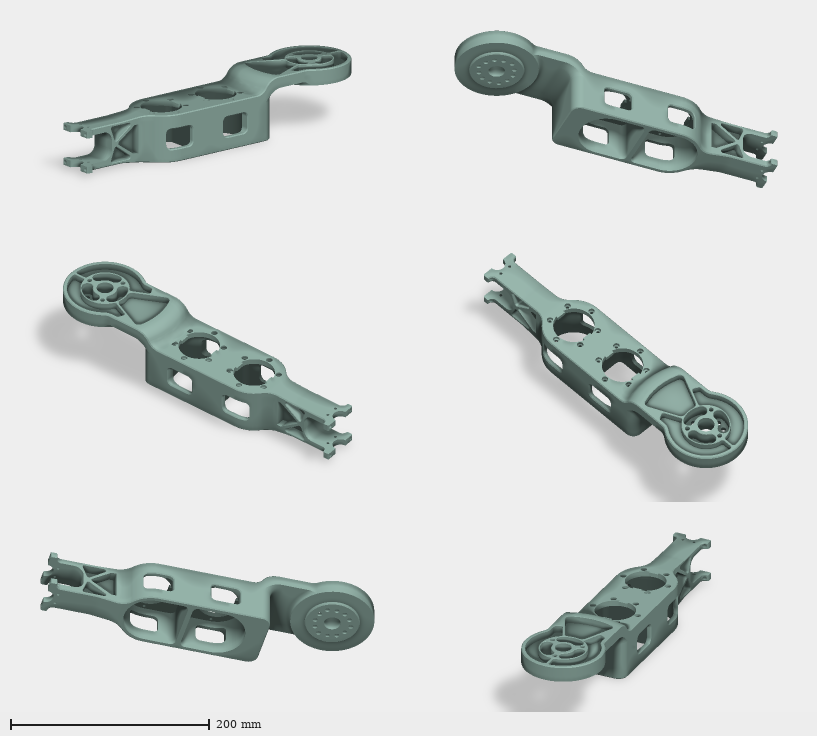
import cadquery as cq
import math


DISC_RADIUS = 42.5
DISC_THICKNESS = 16.5
DISC_BLEND_RADIUS = 10
DISC_UNDER_FILLET = 4
BOSS_RADIUS = 28
BOSS_BOTTOM = -19.25
BOSS_CHAMFER = 1
BORE_DIAMETER = 17

HUB_RADIUS = 25
RIM_WALL = 4
POCKET_DEPTH = 8
RIB_THICKNESS = 2.5
POCKET_CHAMFER = 0.5
SIDE_POCKET_CORNER = 2.5
SIDE_POCKET_SHOULDER_Y = -38
SIDE_POCKET_END_Y = -42
ARM_RIM_WALL = 4
FAN_NARROW_Y = -25
FAN_NARROW_HALF_WIDTH = 10.5
FAN_WIDE_Y = -57
FAN_WIDE_HALF_WIDTH = 25.5
FAN_OUTER_RADIUS = 68
FAN_CORNER = 5

BOLT_CIRCLE_RADIUS = 18
BOLT_STEP = 30
BOLT_DIAMETER = 5
SPOKE_HOLE_RADIUS = 19.5
LOBE_WIDTH = 11.2
LOBE_DEPTH = 14.5
LOBE_ANGLES = (30, 150, 270)
SPOKE_ANGLES = (90, 210, 330)

ARM_HALF_WIDTH = 32.5
ARM_THICKNESS = 12
BEND_START_RADIUS = 71.5
BEND_UPPER_RADIUS = 18
BEND_LOWER_RADIUS = 12
BEND_ANGLE = 60
EDGE_CHAMFER = 1

BLOCK_END_Y = -71.5
BLOCK_CORNER = 10
BLOCK_BOTTOM = -65
COVE_RADIUS = 12
MOTOR_YS = (-120, -190)
PLATE_THICKNESS = 6
WALL_THICKNESS = 4.5
WEB_THICKNESS = 5
CAVITY_CORNER = 5.5
MOTOR_HOLE_RADIUS = 21
TAB_HALF_WIDTH = 5
TAB_INNER_RADIUS = 18
TAB_THICKNESS = 4
SCREW_CIRCLE_RADIUS = 25
SCREW_COUNT = 6
SCREW_DIAMETER = 3.2
SCREW_HEAD_DIAMETER = 6.5
SCREW_HEAD_DEPTH = 3
WINDOW_LENGTH = 30.5
WINDOW_HEIGHT = 21.5
WINDOW_CORNER = 5
WINDOW_CHAMFER = 1
WINDOW_Z = -40.5

NECK_HALF_WIDTH = 14
NECK_BLEND_RADIUS = 20
NECK_TOP = -16.5
NECK_BOTTOM = -60.5
RAMP_START_Y = -219.5
RAMP_END_Y = -250
RAMP_BLEND_RADIUS = 50
TIP_Y = -300
FOOT_HALF_WIDTH = 20
FOOT_LENGTH = 7
FOOT_BLEND_RADIUS = 5
FOOT_CHAMFER = 0.8
PRONG_THICKNESS = 7
SLOT_END_Y = -264.3
SLOT_CORNER = 10
NOTCH_RADIUS = 8
PRONG_HOLE_DIAMETER = 3
PRONG_HOLE_X = 6.25
PRONG_HOLE_Y = -288.7
FOOT_HOLE_DIAMETER = 4
FOOT_HOLE_X = 16.5
NECK_POCKET_DEPTH = 10
NECK_POCKET_CORNER = 2
MAIN_POCKET_CORNERS = [(-230, -23), (-235, -23), (-257.5, -38.5)]
SMALL_POCKET_CORNERS = [(-236.5, -19.5), (-265.8, -19.5), (-259.6, -36.5)]

bend_angle = math.radians(BEND_ANGLE)
BEND_MIDDLE_RADIUS = BEND_START_RADIUS + BEND_UPPER_RADIUS * math.sin(bend_angle)
BEND_END_RADIUS = BEND_MIDDLE_RADIUS + BEND_LOWER_RADIUS * math.sin(bend_angle)
BEND_MIDDLE_Z = -BEND_UPPER_RADIUS * (1 - math.cos(bend_angle))
BLOCK_TOP = BEND_MIDDLE_Z - BEND_LOWER_RADIUS * (1 - math.cos(bend_angle))
NECK_MIDDLE_Z = (NECK_TOP + NECK_BOTTOM) / 2
CAVITY_HALF_WIDTH = ARM_HALF_WIDTH - WALL_THICKNESS
CAVITY_TOP = BLOCK_TOP - PLATE_THICKNESS
FAR = 500


def prism(sketch, bottom, top):
    """Extrude a closed plan outline drawn on the XY plane between two heights."""
    return sketch.extrude(top - bottom).translate((0, 0, bottom))


def cylinder(radius, bottom, top, x=0, y=0):
    return prism(cq.Workplane("XY").center(x, y).circle(radius), bottom, top)


def turned(profile):
    """Turn a profile of (radius, z), drawn on the XZ plane, about the disc axis."""
    return profile.revolve(360, (0, 0, 0), (0, 1, 0))


def side_prism(sketch, x_from, x_to):
    """Extrude a closed (y, z) outline drawn on the YZ plane between two X positions."""
    return sketch.extrude(x_to - x_from).translate((x_from, 0, 0))


def polar(radius, degrees):
    angle = math.radians(degrees)
    return radius * math.cos(angle), radius * math.sin(angle)


def blend(circle_radius, half_width, radius):
    """Fillet from a circle at the origin to the line x = half_width, on its -Y side.

    Returns the point on the circle, the middle of the fillet and the point on the line.
    """
    center_x = half_width + radius
    center_y = -math.sqrt((circle_radius + radius) ** 2 - center_x ** 2)
    ratio = circle_radius / (circle_radius + radius)
    start_angle = math.atan2(-center_y, -center_x)
    middle_angle = (start_angle + math.pi) / 2
    on_circle = (center_x * ratio, center_y * ratio)
    middle = (center_x + radius * math.cos(middle_angle), center_y + radius * math.sin(middle_angle))
    return on_circle, middle, (half_width, center_y)


def mirrored(point):
    return -point[0], point[1]


def make_arm_plate():
    """Disc and arm outline, blended together, down to the middle of the block."""
    start, middle, end = blend(DISC_RADIUS, ARM_HALF_WIDTH, DISC_BLEND_RADIUS)
    plate_end = MOTOR_YS[0]
    outline = (
        cq.Workplane("XY")
        .moveTo(ARM_HALF_WIDTH, plate_end)
        .lineTo(*end)
        .threePointArc(middle, start)
        .threePointArc((0, DISC_RADIUS), mirrored(start))
        .threePointArc(mirrored(middle), mirrored(end))
        .lineTo(-ARM_HALF_WIDTH, plate_end)
        .close()
    )
    return prism(outline, -ARM_THICKNESS, 0)


def make_disc_underside(arm_plate_outline):
    """Thick disc, its fillet to the arm underside and the bottom boss."""
    disc = cylinder(DISC_RADIUS, -DISC_THICKNESS, 0)
    boss = cylinder(BOSS_RADIUS, BOSS_BOTTOM, -DISC_THICKNESS).faces("<Z").chamfer(BOSS_CHAMFER)
    fillet_end = DISC_RADIUS + DISC_UNDER_FILLET
    fillet_low = -ARM_THICKNESS - DISC_UNDER_FILLET
    mid_offset = DISC_UNDER_FILLET * math.sqrt(0.5)
    fillet = turned(
        cq.Workplane("XZ")
        .moveTo(0, -ARM_THICKNESS)
        .lineTo(fillet_end, -ARM_THICKNESS)
        .threePointArc((fillet_end - mid_offset, fillet_low + mid_offset), (DISC_RADIUS, fillet_low))
        .lineTo(0, fillet_low)
        .close()
    )
    below_plate = arm_plate_outline.translate((0, 0, -ARM_THICKNESS))
    return disc.union(fillet.intersect(below_plate)).union(boss)


def make_block():
    """Motor block, neck and fork feet in one outline, full height."""
    motor_y = MOTOR_YS[1]
    start, middle, end = [
        (x, y + motor_y) for x, y in blend(ARM_HALF_WIDTH, NECK_HALF_WIDTH, NECK_BLEND_RADIUS)
    ]
    round_middle = polar(ARM_HALF_WIDTH, math.degrees(math.atan2(start[1] - motor_y, start[0])) / 2)
    round_middle = (round_middle[0], round_middle[1] + motor_y)
    foot_y = TIP_Y + FOOT_LENGTH
    foot_x = NECK_HALF_WIDTH + FOOT_BLEND_RADIUS
    foot_mid = FOOT_BLEND_RADIUS * math.sqrt(0.5)
    foot_middle = (foot_x - foot_mid, foot_y + FOOT_BLEND_RADIUS - foot_mid)
    foot_start = (NECK_HALF_WIDTH, foot_y + FOOT_BLEND_RADIUS)
    outline = (
        cq.Workplane("XY")
        .moveTo(0, BLOCK_END_Y)
        .lineTo(ARM_HALF_WIDTH - BLOCK_CORNER, BLOCK_END_Y)
        .radiusArc((ARM_HALF_WIDTH, BLOCK_END_Y - BLOCK_CORNER), BLOCK_CORNER)
        .lineTo(ARM_HALF_WIDTH, motor_y)
        .threePointArc(round_middle, start)
        .threePointArc(middle, end)
        .lineTo(*foot_start)
        .threePointArc(foot_middle, (foot_x, foot_y))
        .lineTo(FOOT_HALF_WIDTH, foot_y)
        .lineTo(FOOT_HALF_WIDTH, TIP_Y)
        .lineTo(0, TIP_Y)
        .close()
    )
    half = prism(outline, BLOCK_BOTTOM, -ARM_THICKNESS)
    return half.union(half.mirror("YZ"))


def make_cove():
    """Concave fillet under the arm that follows the block end wall and its round corners."""
    low = -ARM_THICKNESS - COVE_RADIUS
    mid = COVE_RADIUS * (1 - math.sqrt(0.5))

    def profile(plane, offset):
        return (
            cq.Workplane(plane)
            .moveTo(offset, -ARM_THICKNESS)
            .lineTo(offset + COVE_RADIUS, -ARM_THICKNESS)
            .threePointArc((offset + mid, -ARM_THICKNESS - mid), (offset, low))
            .close()
        )

    corner_x = ARM_HALF_WIDTH - BLOCK_CORNER
    cove = side_prism(profile("YZ", BLOCK_END_Y), -corner_x, corner_x)
    corner = profile("XZ", BLOCK_CORNER).revolve(360, (0, 0, 0), (0, 1, 0))
    for side in (-1, 1):
        cove = cove.union(corner.translate((side * corner_x, BLOCK_END_Y - BLOCK_CORNER, 0)))
    inside_arm = cq.Workplane("XY").box(2 * ARM_HALF_WIDTH, COVE_RADIUS + BLOCK_CORNER, FAR)
    return cove.intersect(inside_arm.translate((0, BLOCK_END_Y + (COVE_RADIUS - BLOCK_CORNER) / 2, 0)))


def bend_cutter():
    """Space above the S-bend and the block top."""
    half = bend_angle / 2
    upper_mid = (
        BEND_START_RADIUS + BEND_UPPER_RADIUS * math.sin(half),
        -BEND_UPPER_RADIUS * (1 - math.cos(half)),
    )
    lower_mid = (
        BEND_END_RADIUS - BEND_LOWER_RADIUS * math.sin(half),
        BLOCK_TOP + BEND_LOWER_RADIUS * (1 - math.cos(half)),
    )
    return turned(
        cq.Workplane("XZ")
        .moveTo(BEND_START_RADIUS, 0)
        .threePointArc(upper_mid, (BEND_MIDDLE_RADIUS, BEND_MIDDLE_Z))
        .threePointArc(lower_mid, (BEND_END_RADIUS, BLOCK_TOP))
        .lineTo(FAR, BLOCK_TOP)
        .lineTo(FAR, -BLOCK_BOTTOM)
        .lineTo(BEND_START_RADIUS, -BLOCK_BOTTOM)
        .close()
    )


def ramp_cutter(block_z, neck_z):
    """Space beyond the neck where its top or bottom ramps from the block to the fork."""
    beyond = block_z + math.copysign(PRONG_THICKNESS, block_z - neck_z)
    run_in_y = MOTOR_YS[1]
    slope = math.atan((neck_z - block_z) / (RAMP_START_Y - RAMP_END_Y))
    blend_length = RAMP_BLEND_RADIUS * math.tan(abs(slope) / 2)
    along_y = blend_length * math.cos(slope)
    along_z = blend_length * math.sin(slope)
    outline = (
        cq.Workplane("YZ")
        .moveTo(run_in_y, block_z)
        .lineTo(RAMP_START_Y + blend_length, block_z)
        .tangentArcPoint((RAMP_START_Y - along_y, block_z + along_z), relative=False)
        .lineTo(RAMP_END_Y + along_y, neck_z - along_z)
        .tangentArcPoint((RAMP_END_Y - blend_length, neck_z), relative=False)
        .lineTo(-FAR, neck_z)
        .lineTo(-FAR, beyond)
        .lineTo(run_in_y, beyond)
        .close()
    )
    return side_prism(outline, -ARM_HALF_WIDTH, ARM_HALF_WIDTH)


def chamfer_outline(body):
    """Break the top edges of the whole link and the bottom edges of the block and neck, up to the feet."""
    walls = []
    tops = []
    bottoms = []
    for face in body.faces().vals():
        direction = face.normalAt().z
        if abs(direction) < 0.01:
            walls.append(face)
        elif direction > 0.3:
            tops.append(face)
        elif face.Center().z < NECK_BOTTOM + 1:
            bottoms.append(face)
    wall_edges = {edge for face in walls for edge in face.Edges()}
    other_edges = {edge for face in tops + bottoms for edge in face.Edges()}
    foot_start_y = TIP_Y + FOOT_LENGTH + FOOT_BLEND_RADIUS
    outline_edges = [edge for edge in wall_edges & other_edges if edge.Center().y > foot_start_y]
    return body.newObject(outline_edges).chamfer(EDGE_CHAMFER)


def make_body():
    plate = make_arm_plate()
    body = plate.union(make_disc_underside(plate)).union(make_block()).union(make_cove()).clean()
    body = body.cut(bend_cutter())
    body = body.cut(ramp_cutter(BLOCK_TOP, NECK_TOP)).cut(ramp_cutter(BLOCK_BOTTOM, NECK_BOTTOM))
    return chamfer_outline(body.clean())


def slot_arc(radius, width, start, end, bottom, top):
    """Round-ended slot along an arc about the disc axis; angles in degrees."""
    inner = radius - width / 2
    outer = radius + width / 2
    middle = (start + end) / 2
    outline = (
        cq.Workplane("XY")
        .moveTo(*polar(inner, start))
        .threePointArc(polar(inner, middle), polar(inner, end))
        .lineTo(*polar(outer, end))
        .threePointArc(polar(outer, middle), polar(outer, start))
        .close()
    )
    slot = prism(outline, bottom, top)
    for angle in (start, end):
        slot = slot.union(cylinder(width / 2, bottom, top, *polar(radius, angle)))
    return slot


def fan_side_x(y):
    """Half width of the fan pocket at a given y."""
    slope = (FAN_WIDE_HALF_WIDTH - FAN_NARROW_HALF_WIDTH) / (FAN_NARROW_Y - FAN_WIDE_Y)
    return FAN_NARROW_HALF_WIDTH + (FAN_NARROW_Y - y) * slope


def fan_wedge(grow):
    """Wedge between the fan sides, moved outwards by the given width, from the axis to the bend."""
    corners = [(fan_side_x(y) + grow, y) for y in (FAN_NARROW_Y + HUB_RADIUS / 2, -BEND_START_RADIUS)]
    outline = cq.Workplane("XY").polyline(corners + [mirrored(c) for c in reversed(corners)]).close()
    return prism(outline, -POCKET_DEPTH, 0)


def make_fan_pocket():
    """Wedge pocket between the hub ring and an arc about the disc axis."""
    ring = cylinder(FAN_OUTER_RADIUS, -POCKET_DEPTH, 0).cut(cylinder(HUB_RADIUS, -POCKET_DEPTH, 0))
    return fan_wedge(0).intersect(ring).edges("|Z").fillet(FAN_CORNER)


def make_side_pocket():
    """Pocket on the +X side between hub ring, rim, top rib, fan rib and the arm edge."""
    inner_x = ARM_HALF_WIDTH - ARM_RIM_WALL
    pocket_radius = DISC_RADIUS - RIM_WALL
    start, middle, end = blend(pocket_radius, inner_x, DISC_BLEND_RADIUS + RIM_WALL)
    outline = (
        cq.Workplane("XY")
        .moveTo(RIB_THICKNESS / 2, 0)
        .lineTo(RIB_THICKNESS / 2, math.sqrt(pocket_radius ** 2 - (RIB_THICKNESS / 2) ** 2))
        .threePointArc((pocket_radius, 0), start)
        .threePointArc(middle, end)
        .lineTo(inner_x, SIDE_POCKET_SHOULDER_Y)
        .lineTo(fan_side_x(SIDE_POCKET_END_Y) + RIB_THICKNESS, SIDE_POCKET_END_Y)
        .lineTo(RIB_THICKNESS / 2, SIDE_POCKET_END_Y)
        .close()
    )
    hub = cylinder(HUB_RADIUS, -POCKET_DEPTH, 0)
    pocket = prism(outline, -POCKET_DEPTH, 0).cut(hub).cut(fan_wedge(RIB_THICKNESS))
    return pocket.solids(">X").edges("|Z").fillet(SIDE_POCKET_CORNER)


def break_inner_edges(body, face):
    """Chamfer the edges of every opening in a flat face."""
    edges = [edge for wire in face.innerWires() for edge in wire.Edges()]
    return body.newObject(edges).chamfer(POCKET_CHAMFER)


def cut_disc(body):
    """Pockets, bolt holes and bore of the disc end."""
    side_pocket = make_side_pocket()
    body = body.cut(make_fan_pocket()).cut(side_pocket).cut(side_pocket.mirror("YZ"))
    for middle in LOBE_ANGLES:
        ends = (middle - BOLT_STEP, middle + BOLT_STEP)
        body = body.cut(slot_arc(BOLT_CIRCLE_RADIUS, LOBE_WIDTH, *ends, -LOBE_DEPTH, 0))
    body = break_inner_edges(body, body.faces(">Z").val())
    for middle in LOBE_ANGLES:
        for angle in (middle - BOLT_STEP, middle, middle + BOLT_STEP):
            hole = cylinder(BOLT_DIAMETER / 2, BOSS_BOTTOM, 0, *polar(BOLT_CIRCLE_RADIUS, angle))
            body = body.cut(hole)
    for angle in SPOKE_ANGLES:
        body = body.cut(cylinder(BOLT_DIAMETER / 2, BOSS_BOTTOM, 0, *polar(SPOKE_HOLE_RADIUS, angle)))
    return body.cut(cylinder(BORE_DIAMETER / 2, BOSS_BOTTOM, 0))


def make_cavities():
    """Two motor cavities, open at the bottom, round at the far ends and separated by a web."""
    first_y, second_y = MOTOR_YS
    cavities = (
        cq.Workplane("XY")
        .center(0, (first_y + second_y) / 2)
        .slot2D(first_y - second_y + 2 * CAVITY_HALF_WIDTH, 2 * CAVITY_HALF_WIDTH, 90)
    )
    cavities = prism(cavities, BLOCK_BOTTOM, CAVITY_TOP)
    web = cq.Workplane("XY").box(FAR, WEB_THICKNESS, FAR).translate((0, (first_y + second_y) / 2, 0))
    cavities = cavities.cut(web)
    beside_web = cq.selectors.BoxSelector((-FAR, second_y + 1, -FAR), (FAR, first_y - 1, FAR))
    return cavities.edges("|Z").edges(beside_web).fillet(CAVITY_CORNER)


def make_motor_seat():
    """Tabbed motor hole and counterbored screw holes, for a motor on the disc axis."""
    seat = cylinder(MOTOR_HOLE_RADIUS, CAVITY_TOP, BLOCK_TOP)
    for side in (-1, 1):
        tab = cq.Workplane("XY").box(2 * TAB_HALF_WIDTH, MOTOR_HOLE_RADIUS, TAB_THICKNESS)
        tab_y = side * (TAB_INNER_RADIUS + MOTOR_HOLE_RADIUS / 2)
        seat = seat.cut(tab.translate((0, tab_y, BLOCK_TOP - TAB_THICKNESS / 2)))
    for index in range(SCREW_COUNT):
        x, y = polar(SCREW_CIRCLE_RADIUS, index * 360 / SCREW_COUNT)
        seat = seat.union(cylinder(SCREW_DIAMETER / 2, CAVITY_TOP, BLOCK_TOP, x, y))
        seat = seat.union(cylinder(SCREW_HEAD_DIAMETER / 2, BLOCK_TOP - SCREW_HEAD_DEPTH, BLOCK_TOP, x, y))
    return seat


def cut_windows(body, motor_y):
    """Opening through both side walls beside a motor, with chamfered outer edges."""
    window = cq.Workplane("XY").box(3 * ARM_HALF_WIDTH, WINDOW_LENGTH, WINDOW_HEIGHT)
    window = window.edges("|X").fillet(WINDOW_CORNER).translate((0, motor_y, WINDOW_Z))
    body = body.cut(window)
    reach_y = WINDOW_LENGTH / 2 + 0.1
    reach_z = WINDOW_HEIGHT / 2 + 0.1
    outer_edges = [
        edge for edge in body.edges("not(|X)").vals()
        if abs(edge.Center().x) > CAVITY_HALF_WIDTH + 0.1
        and abs(edge.Center().y - motor_y) < reach_y
        and abs(edge.Center().z - WINDOW_Z) < reach_z
    ]
    return body.newObject(outer_edges).chamfer(WINDOW_CHAMFER)


def cut_block(body):
    body = body.cut(make_cavities())
    for motor_y in MOTOR_YS:
        body = body.cut(make_motor_seat().translate((0, motor_y, 0)))
        body = cut_windows(body, motor_y)
    return body


def flipped(points):
    """The same (y, z) points, mirrored about the middle height of the neck."""
    return [(y, 2 * NECK_MIDDLE_Z - z) for y, z in points]


def cut_neck(body):
    """Triangular lightening pockets on both sides of the neck."""
    web = NECK_HALF_WIDTH - NECK_POCKET_DEPTH
    main = MAIN_POCKET_CORNERS + flipped(MAIN_POCKET_CORNERS[:-1])[::-1]
    for x_from, x_to in ((web, ARM_HALF_WIDTH), (-ARM_HALF_WIDTH, -web)):
        for corners in (SMALL_POCKET_CORNERS, flipped(SMALL_POCKET_CORNERS)):
            pocket = side_prism(cq.Workplane("YZ").polyline(corners).close(), x_from, x_to)
            body = body.cut(pocket.edges("|X").fillet(NECK_POCKET_CORNER))
        side_x = math.copysign(NECK_HALF_WIDTH, x_from + x_to)
        side_point = (side_x, SLOT_END_Y, NECK_MIDDLE_Z)
        body = break_inner_edges(body, body.faces("#Z").faces(cq.NearestToPointSelector(side_point)).val())
        main_pocket = side_prism(cq.Workplane("YZ").polyline(main).close(), x_from, x_to)
        body = body.cut(main_pocket.edges("|X and <Y").fillet(NECK_POCKET_CORNER))
    return body


def cut_fork(body):
    """Slot between the prongs, tip notch and the prong and foot holes."""
    length = SLOT_END_Y - TIP_Y
    height = NECK_TOP - NECK_BOTTOM - 2 * PRONG_THICKNESS
    slot = cq.Workplane("XY").box(3 * FOOT_HALF_WIDTH, length, height)
    slot = slot.edges("|X and >Y").fillet(SLOT_CORNER)
    body = body.cut(slot.translate((0, SLOT_END_Y - length / 2, NECK_MIDDLE_Z)))
    body = body.cut(cylinder(NOTCH_RADIUS, BLOCK_BOTTOM, BLOCK_TOP, 0, TIP_Y))
    foot_corners = [
        edge for edge in body.edges("|Z").vals() if abs(abs(edge.Center().x) - FOOT_HALF_WIDTH) < 0.1
        and edge.Center().y < RAMP_END_Y
    ]
    body = body.newObject(foot_corners).chamfer(FOOT_CHAMFER)
    hole_zs = (NECK_TOP - PRONG_THICKNESS / 2, NECK_BOTTOM + PRONG_THICKNESS / 2)
    for side in (-1, 1):
        x = side * PRONG_HOLE_X
        body = body.cut(cylinder(PRONG_HOLE_DIAMETER / 2, BLOCK_BOTTOM, BLOCK_TOP, x, PRONG_HOLE_Y))
        for z in hole_zs:
            hole = cylinder(FOOT_HOLE_DIAMETER / 2, 0, 2 * FOOT_LENGTH).rotate((0, 0, 0), (1, 0, 0), -90)
            body = body.cut(hole.translate((side * FOOT_HOLE_X, TIP_Y, z)))
    return body


result = cut_fork(cut_neck(cut_block(cut_disc(make_body()))))